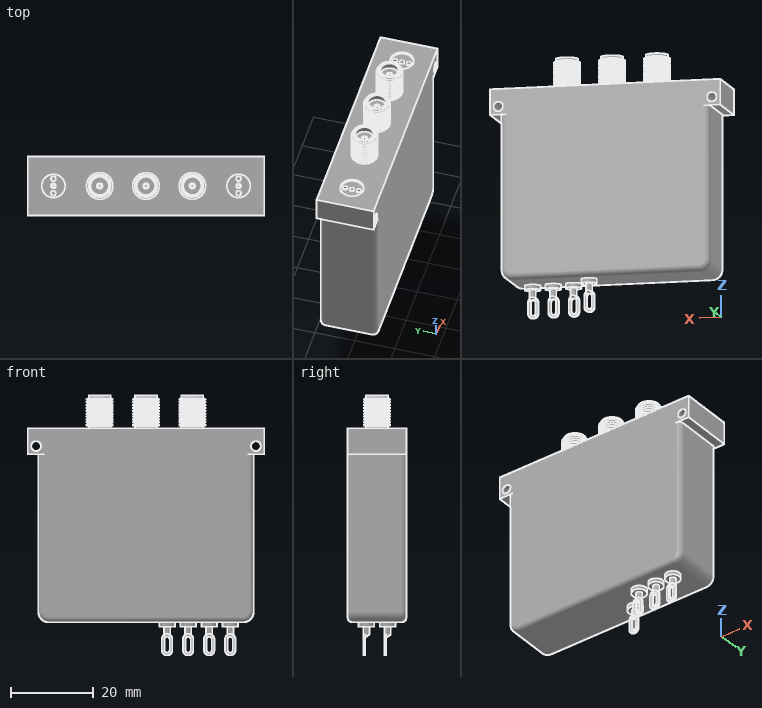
import cadquery as cq


PLATE_LENGTH = 57.15
WIDTH = 14.3
PLATE_HEIGHT = 6.35
CASE_LENGTH = 52.0
CASE_HEIGHT = 40.5
CASE_CORNER_RADIUS = 2.6
CASE_EDGE_RADIUS = 1.3

MOUNT_HOLE_DIAMETER = 2.3
MOUNT_HOLE_INSET = 2.1
MOUNT_HOLE_HEIGHT = 2.0

CONNECTOR_PITCH = 11.15
CONNECTOR_HEIGHT = 7.9
THREAD_RADIUS = 3.2
THREAD_ROOT_RADIUS = 2.7
THREAD_PITCH = 0.7
THREAD_COUNT = 10
THREAD_END = 7.3
THREAD_BASE = 0.55
THREAD_CREST = 0.095
SOCKET_RADIUS = 2.2
SOCKET_DEPTH = 1.75
SOCKET_CHAMFER = 0.2
CONTACT_MOUTH_RADIUS = 0.7
CONTACT_MOUTH_DEPTH = 0.3
CONTACT_BORE_RADIUS = 0.45
CONTACT_BORE_DEPTH = 1.9

RECESS_X = 2 * CONNECTOR_PITCH
RECESS_DIAMETER = 5.65
RECESS_DEPTH = 0.5
PIT_DIAMETER = 1.2
PIT_SPACING = 1.75
PIT_DEPTH = 0.95
CENTRE_BORE_DIAMETER = 0.75
CENTRE_BORE_DEPTH = 0.6

TERMINAL_PITCH = 5.1
FIRST_TERMINAL_X = 5.1
TERMINAL_ROW_Y = 2.6
COLLAR_DIAMETER = 3.8
COLLAR_HEIGHT = 1.05
POST_DIAMETER = 1.55
POST_LENGTH = 2.9
BEVEL_HEIGHT = 0.75
LOOP_TOP = 2.75
TERMINAL_LENGTH = 7.95
LOOP_WIDTH = 2.6
LOOP_THICKNESS = 0.5
EYE_WIDTH = 1.2

PLATE_TOP = PLATE_HEIGHT
CASE_BOTTOM = -CASE_HEIGHT
OVERLAP = 0.3


def cylinder(x, y, z, diameter, height):
    """Upright cylinder whose base centre is at (x, y, z)."""
    return cq.Workplane("XY", origin=(x, y, z)).circle(diameter / 2).extrude(height)


def make_plate():
    plate = cq.Workplane("XY").box(PLATE_LENGTH, WIDTH, PLATE_HEIGHT, centered=(True, True, False))
    hole_x = PLATE_LENGTH / 2 - MOUNT_HOLE_INSET
    holes = (
        cq.Workplane("XZ")
        .pushPoints([(-hole_x, MOUNT_HOLE_HEIGHT), (hole_x, MOUNT_HOLE_HEIGHT)])
        .circle(MOUNT_HOLE_DIAMETER / 2)
        .extrude(WIDTH, both=True)
    )
    return plate.cut(holes)


def make_case():
    case = cq.Workplane("XY").box(CASE_LENGTH, WIDTH, CASE_HEIGHT, centered=(True, True, False))
    case = case.translate((0, 0, CASE_BOTTOM))
    case = case.edges("|Y and <Z").fillet(CASE_CORNER_RADIUS)
    return case.faces("<Y or >Y").edges("not >Z").fillet(CASE_EDGE_RADIUS)


def make_recess(x):
    """Shallow recess with a row of three pits, the middle one stepped, as a cutting body."""
    floor = PLATE_TOP - RECESS_DEPTH
    pit_floor = floor - PIT_DEPTH
    recess = cylinder(x, 0, floor, RECESS_DIAMETER, RECESS_DEPTH)
    for y in (-PIT_SPACING, 0, PIT_SPACING):
        recess = recess.union(cylinder(x, y, pit_floor, PIT_DIAMETER, PIT_DEPTH))
    centre_bore = cylinder(x, 0, pit_floor - CENTRE_BORE_DEPTH, CENTRE_BORE_DIAMETER, CENTRE_BORE_DEPTH)
    return recess.union(centre_bore)


def make_connector():
    """Connector turned about Z, standing on Z = 0; the thread is a stack of parallel ridges."""
    socket_floor = CONNECTOR_HEIGHT - SOCKET_DEPTH
    mouth_floor = socket_floor - CONTACT_MOUTH_DEPTH
    bore_bottom = mouth_floor - CONTACT_BORE_DEPTH
    outline = [(0, -OVERLAP), (THREAD_ROOT_RADIUS, -OVERLAP)]
    for ridge in range(THREAD_COUNT):
        z = THREAD_END - (THREAD_COUNT - ridge - 0.5) * THREAD_PITCH
        outline += [
            (THREAD_ROOT_RADIUS, z - THREAD_BASE / 2),
            (THREAD_RADIUS, z - THREAD_CREST / 2),
            (THREAD_RADIUS, z + THREAD_CREST / 2),
            (THREAD_ROOT_RADIUS, z + THREAD_BASE / 2),
        ]
    outline += [
        (THREAD_ROOT_RADIUS, CONNECTOR_HEIGHT),
        (SOCKET_RADIUS + SOCKET_CHAMFER, CONNECTOR_HEIGHT),
        (SOCKET_RADIUS, CONNECTOR_HEIGHT - SOCKET_CHAMFER),
        (SOCKET_RADIUS, socket_floor),
        (CONTACT_MOUTH_RADIUS, socket_floor),
        (CONTACT_MOUTH_RADIUS, mouth_floor),
        (CONTACT_BORE_RADIUS, mouth_floor),
        (CONTACT_BORE_RADIUS, bore_bottom),
        (0, bore_bottom),
    ]
    return cq.Workplane("XZ").polyline(outline).close().revolve(360, (0, 0), (0, 1))


def make_terminal(x, y):
    """Collar, post bevelled down to its -Y side, and a flat eyelet flush with that side."""
    collar = cylinder(0, 0, -COLLAR_HEIGHT, COLLAR_DIAMETER, COLLAR_HEIGHT + OVERLAP)
    front_y = -POST_DIAMETER / 2
    back_y = POST_DIAMETER / 2
    loop_back_y = front_y + LOOP_THICKNESS
    post_bottom = -POST_LENGTH - BEVEL_HEIGHT
    side_profile = (
        cq.Workplane("YZ")
        .polyline([(front_y, 0), (back_y, 0), (back_y, -POST_LENGTH), (loop_back_y, post_bottom),
                   (front_y, post_bottom)])
        .close()
        .extrude(POST_DIAMETER, both=True)
    )
    post = cylinder(0, 0, post_bottom, POST_DIAMETER, -post_bottom).intersect(side_profile)

    loop_length = TERMINAL_LENGTH - LOOP_TOP
    loop_centre_z = -(LOOP_TOP + TERMINAL_LENGTH) / 2
    rim = (LOOP_WIDTH - EYE_WIDTH) / 2
    loop_plane = cq.Workplane("XZ", origin=(0, loop_back_y, loop_centre_z))
    loop = loop_plane.slot2D(loop_length, LOOP_WIDTH, 90).extrude(LOOP_THICKNESS)
    eye = loop_plane.slot2D(loop_length - 2 * rim, EYE_WIDTH, 90).extrude(POST_DIAMETER, both=True)
    return collar.union(post).union(loop).cut(eye).translate((x, y, CASE_BOTTOM))


result = make_plate().union(make_case())

for side in (-1, 1):
    result = result.cut(make_recess(side * RECESS_X))

for position in (-1, 0, 1):
    result = result.union(make_connector().translate((position * CONNECTOR_PITCH, 0, PLATE_TOP)))

for index in range(4):
    row_y = TERMINAL_ROW_Y if index == 0 else -TERMINAL_ROW_Y
    result = result.union(make_terminal(FIRST_TERMINAL_X + index * TERMINAL_PITCH, row_y))